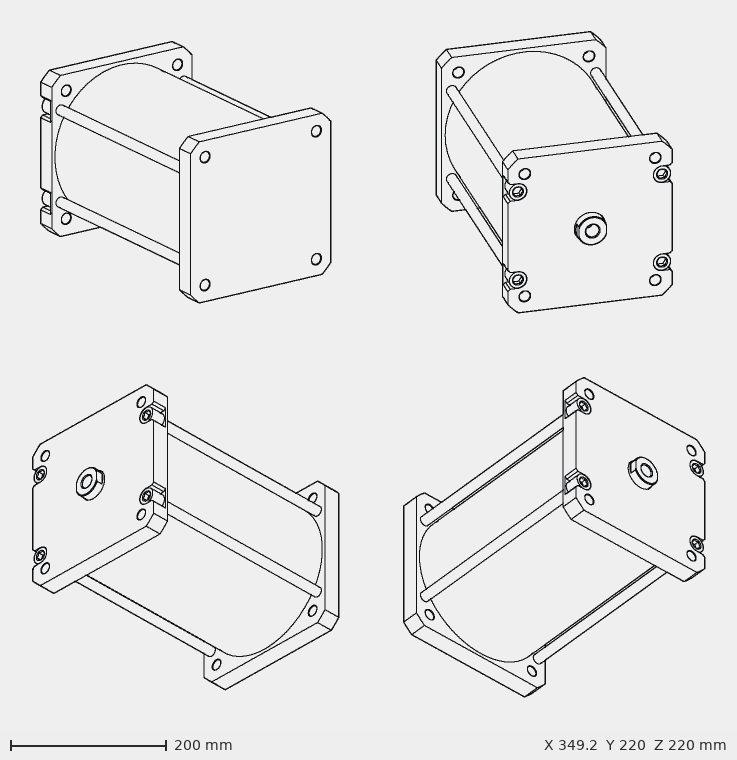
import cadquery as cq
import math

TOTAL_LENGTH = 349.2
ROD_PROTRUSION = 12.2
PLATE_THICKNESS = 25.0
FRONT_PLATE_X = ROD_PROTRUSION
BARREL_X = FRONT_PLATE_X + PLATE_THICKNESS
REAR_PLATE_X = TOTAL_LENGTH - PLATE_THICKNESS
BARREL_LENGTH = REAR_PLATE_X - BARREL_X
BARREL_DIAMETER = 210.2

PLATE_SIZE = 220.0
CORNER_CUT = 13.5
CORNER_RADIUS = math.hypot(PLATE_SIZE / 2, PLATE_SIZE / 2 - CORNER_CUT)
MOUNT_HOLE_DIAMETER = 14.3
MOUNT_HOLE_CHAMFER = 0.7
MOUNT_HOLE_OFFSET = 87.3

BOLT_Y = 96.5
BOLT_Z = 63.0
SHANK_DIAMETER = 14.0
HEAD_DIAMETER = 23.0
SLOT_DEPTH = 21.5
HEAD_RECESS = 0.5
HEAD_X = FRONT_PLATE_X + HEAD_RECESS
HEAD_LENGTH = SLOT_DEPTH - HEAD_RECESS
SOCKET_ACROSS_FLATS = 12.0
SOCKET_MOUTH_DIAMETER = 14.5
SOCKET_DEPTH = 8.0
SLOT_WIDTH = 23.7
SLOT_MOUTH_CHAMFER = 3.0

ROD_DIAMETER = 40.0
ROD_CHAMFER = 1.0
ROD_HOLE_DIAMETER = 42.0
FLATS_ACROSS = 36.5
FLATS_LENGTH = 9.8
TAP_DIAMETER = 17.5
TAP_DEPTH = 28.0
TAP_CHAMFER = 1.22
DRILL_POINT_ANGLE = 118.0


def plane_at(x):
    """Work plane facing +X whose local axes are the part's Y and Z."""
    return cq.Workplane("YZ", origin=(x, 0, 0))


def four_corners(y, z):
    return [(side_y * y, side_z * z) for side_y in (-1, 1) for side_z in (-1, 1)]


BOLT_CENTRES = four_corners(BOLT_Y, BOLT_Z)


def make_end_plate(x):
    """Plate with turned-off corners and four mounting holes chamfered at both ends."""
    plate = plane_at(x).rect(PLATE_SIZE, PLATE_SIZE).extrude(PLATE_THICKNESS)
    turned_disc = plane_at(x).circle(CORNER_RADIUS).extrude(PLATE_THICKNESS)
    mount_holes = (
        plane_at(x)
        .pushPoints(four_corners(MOUNT_HOLE_OFFSET, MOUNT_HOLE_OFFSET))
        .circle(MOUNT_HOLE_DIAMETER / 2)
        .extrude(PLATE_THICKNESS)
    )
    return (
        plate.intersect(turned_disc)
        .cut(mount_holes)
        .edges("%CIRCLE")
        .edges(cq.selectors.RadiusNthSelector(0))
        .chamfer(MOUNT_HOLE_CHAMFER)
    )


def make_head_slot(y, z):
    """Round-ended slot for a bolt head, flared where it leaves the plate side."""
    outward = math.copysign(1, y)
    half_width = SLOT_WIDTH / 2
    edge_y = outward * PLATE_SIZE / 2
    flare_y = edge_y - outward * SLOT_MOUTH_CHAMFER
    mouth_half_width = half_width + SLOT_MOUTH_CHAMFER
    return (
        plane_at(FRONT_PLATE_X)
        .moveTo(y, z - half_width)
        .lineTo(flare_y, z - half_width)
        .lineTo(edge_y, z - mouth_half_width)
        .lineTo(edge_y, z + mouth_half_width)
        .lineTo(flare_y, z + half_width)
        .lineTo(y, z + half_width)
        .threePointArc((y - outward * half_width, z), (y, z - half_width))
        .close()
        .extrude(SLOT_DEPTH)
    )


def make_front_plate():
    """End plate with a clearance hole for the rod and seats for the tie bolts."""
    plate = make_end_plate(FRONT_PLATE_X)
    rod_hole = plane_at(FRONT_PLATE_X).circle(ROD_HOLE_DIAMETER / 2).extrude(PLATE_THICKNESS)
    shank_holes = (
        plane_at(FRONT_PLATE_X)
        .pushPoints(BOLT_CENTRES)
        .circle(SHANK_DIAMETER / 2)
        .extrude(PLATE_THICKNESS)
    )
    plate = plate.cut(rod_hole).cut(shank_holes)
    for y, z in BOLT_CENTRES:
        plate = plate.cut(make_head_slot(y, z))
    return plate


def make_barrel():
    return plane_at(BARREL_X).circle(BARREL_DIAMETER / 2).extrude(BARREL_LENGTH)


def make_hex_socket(y, z):
    """Hexagonal recess with a 45 degree conical mouth."""
    across_corners = SOCKET_ACROSS_FLATS / math.cos(math.pi / 6)
    hexagon = plane_at(HEAD_X).center(y, z).polygon(6, across_corners).extrude(SOCKET_DEPTH)
    mouth_radius = SOCKET_MOUTH_DIAMETER / 2
    mouth = cq.Solid.makeCone(mouth_radius, 0, mouth_radius, cq.Vector(HEAD_X, y, z), cq.Vector(1, 0, 0))
    return hexagon.union(cq.Workplane(mouth))


def make_tie_bolt(y, z):
    """Socket-head bolt reaching from its sunken head to the rear plate."""
    head = (
        plane_at(HEAD_X)
        .center(y, z)
        .circle(HEAD_DIAMETER / 2)
        .extrude(HEAD_LENGTH)
    )
    shank = (
        plane_at(HEAD_X + HEAD_LENGTH)
        .center(y, z)
        .circle(SHANK_DIAMETER / 2)
        .extrude(REAR_PLATE_X - HEAD_X - HEAD_LENGTH)
    )
    return head.union(shank).cut(make_hex_socket(y, z))


def make_tapped_hole():
    """Chamfered blind hole with a drill point, on the rod axis."""
    radius = TAP_DIAMETER / 2
    point_length = radius / math.tan(math.radians(DRILL_POINT_ANGLE / 2))
    return (
        cq.Workplane("XY")
        .moveTo(0, 0)
        .lineTo(0, radius + TAP_CHAMFER)
        .lineTo(TAP_CHAMFER, radius)
        .lineTo(TAP_DEPTH, radius)
        .lineTo(TAP_DEPTH + point_length, 0)
        .close()
        .revolve(360, (0, 0, 0), (1, 0, 0))
    )


def make_rod():
    """Rod from its tapped tip, past two wrench flats, to the end of the barrel."""
    rod = plane_at(0).circle(ROD_DIAMETER / 2).extrude(BARREL_X).faces("<X").chamfer(ROD_CHAMFER)
    flats_stock = plane_at(0).rect(ROD_DIAMETER, ROD_DIAMETER).extrude(FLATS_LENGTH)
    flats_core = plane_at(0).rect(FLATS_ACROSS, ROD_DIAMETER).extrude(FLATS_LENGTH)
    return rod.cut(flats_stock.cut(flats_core)).cut(make_tapped_hole())


front_plate = make_front_plate()
rear_plate = make_end_plate(REAR_PLATE_X)
barrel = make_barrel()
rod = make_rod()
tie_bolts = [make_tie_bolt(y, z) for y, z in BOLT_CENTRES]

result = cq.Compound.makeCompound(
    [front_plate.val(), rear_plate.val(), barrel.val(), rod.val()] + [bolt.val() for bolt in tie_bolts]
)